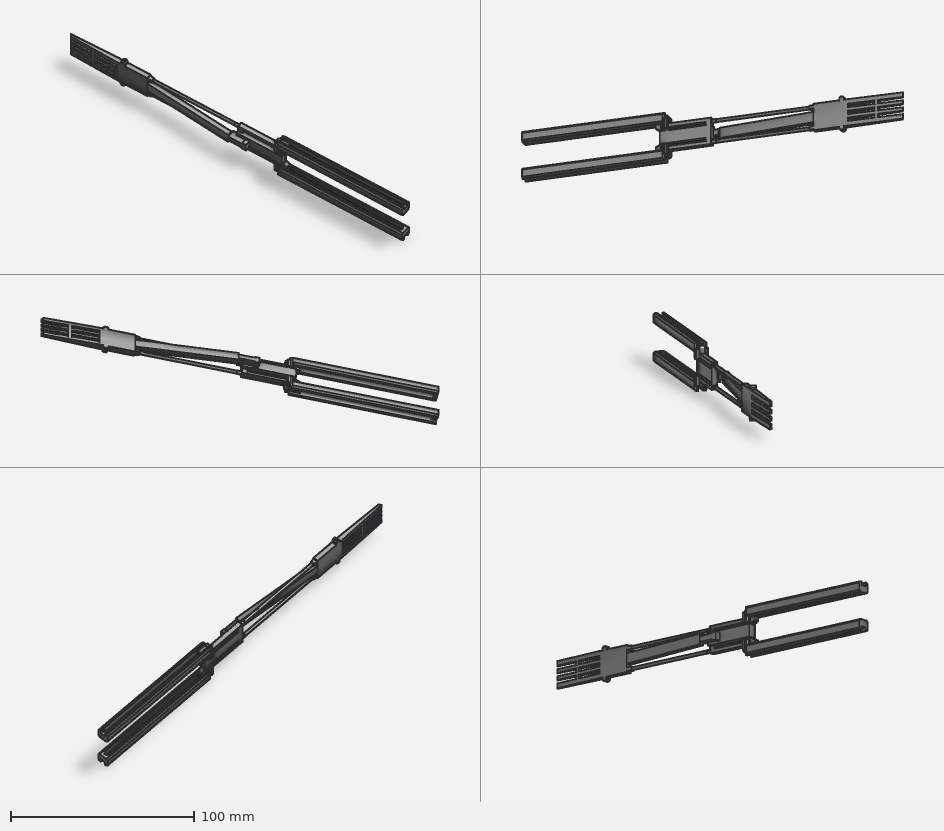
import cadquery as cq
SIDES = (1, -1)

plate_left = 32.2
plate_right = 52.2
plate_height = 15.3
plate_thickness = 3.1
tip_thickness = 1.45
tip_bevel = 1.0
tooth_gap = 2.0
tooth_pitch = 2 * tooth_gap
gap_count = 3
tie_x = 15.8
tie_width = 2.0
bump_x = 35.8
bump_width = 3.0
bump_crown = 1.1
bump_rise = 2.11
bump_side_rise = 1.1

rod_z = 6.0
rod_diameter = 1.8
boss_diameter = 2.0
boss_length = 2.7

frame_left = 112.2
frame_thickness = 3.1
beam_right = 142.2
beam_height = 7.3
beam_front = -3.1
arm_outer = plate_height / 2
arm_height = 2.11
arm_inner = arm_outer - arm_height
yoke_length = 3.1
post_left = 137.4
lobe_left = 136.5
lobe_top = 11.8
lobe_radius = 1.8

tongue_left = 109.1
tongue_right = 121.0
tongue_width = 3.3
flare_start = 117.1
flare_end = 118.5
head_width = 4.7

strap_height = 6.0
strap_thickness = 3.1

rail_left = 139.1
rail_right = 222.2
wall_thickness = 1.95
slot_width = frame_thickness
rail_width = slot_width + 2 * wall_thickness
rail_inner = arm_outer
rail_height = 6.0
rail_outer = rail_inner + rail_height
rail_bevel = 1.0
leg_length = 2.2
leg_bottom = 4.2
slot_left = 144.7
slot_right = 220.2
slot_corner = 1.1
bridge_drop = 2.0
rib_corner_z = 5.5
pad_left = post_left
pad_bottom = 4.5
pad_top = 10.5
pad_bevel = 0.33

assembly_depth = 10.0
tongue_front = rail_width / 2 - assembly_depth


def centred(size):
    """Limits of a span of the given size about zero."""
    return (-size / 2, size / 2)


def block(x_range, y_range, z_range):
    """Box between the given limits."""
    sizes = [high - low for low, high in (x_range, y_range, z_range)]
    corner = (x_range[0], y_range[0], z_range[0])
    return cq.Workplane("XY").box(*sizes, centered=False).translate(corner)


def plan_prism(points, height, z=0):
    """Prism with an outline in the XY plane, centred on the given Z."""
    return cq.Workplane("XY", origin=(0, 0, z - height / 2)).polyline(points).close().extrude(height)


def rod_along_x(x_range, diameter):
    """Upper round bar between two X positions, on the rod axis."""
    start, end = x_range
    return cq.Workplane("YZ", origin=(start, 0, rod_z)).circle(diameter / 2).extrude(end - start)


def on_side(shape, side):
    """The shape itself for the +Z side, or its mirror image for the -Z side."""
    return shape if side > 0 else shape.mirror("XY")



def make_bump():
    """Tooth with a bevelled crown on the upper edge of the plate."""
    edge = plate_height / 2
    return (
        cq.Workplane("XZ", origin=(bump_x, plate_thickness / 2, 0))
        .moveTo(-bump_width / 2, 0)
        .lineTo(-bump_width / 2, edge + bump_side_rise)
        .lineTo(-bump_crown / 2, edge + bump_rise)
        .lineTo(bump_crown / 2, edge + bump_rise)
        .lineTo(bump_width / 2, edge + bump_side_rise)
        .lineTo(bump_width / 2, 0)
        .close()
        .extrude(plate_thickness)
    )


def make_rod_lug():
    """Lug that narrows from the plate's thickness to the boss size, where the rod starts."""
    root = plate_thickness / 2
    end = boss_diameter / 2
    lug_right = plate_right + boss_length
    outline = [(plate_right, -root), (lug_right, -end), (lug_right, end), (plate_right, root)]
    return plan_prism(outline, boss_diameter, rod_z)


def make_comb_plate():
    half = plate_thickness / 2
    tip = tip_thickness / 2
    outline = [
        (tip_bevel, -tip),
        (plate_left, -half),
        (plate_right, -half),
        (plate_right, half),
        (plate_left, half),
        (0, tip),
    ]
    body = plan_prism(outline, plate_height)
    tip_gap = (0, tie_x - tie_width / 2)
    root_gap = (tie_x + tie_width / 2, plate_left)
    for index in range(gap_count):
        z = (index - (gap_count - 1) / 2) * tooth_pitch
        gap_z = (z - tooth_gap / 2, z + tooth_gap / 2)
        for gap_x in (tip_gap, root_gap):
            body = body.cut(block(gap_x, centred(plate_thickness), gap_z))
    for side in SIDES:
        body = body.union(on_side(make_bump(), side))
        body = body.union(on_side(make_rod_lug(), side))
    return body



def make_rod(side):
    rod_span = (plate_right + boss_length, frame_left - boss_length)
    return on_side(rod_along_x(rod_span, rod_diameter), side)



def make_strap():
    half = strap_thickness / 2
    outline = [
        (plate_right, -half),
        (tongue_left, tongue_front),
        (tongue_left, tongue_front + strap_thickness),
        (plate_right, half),
    ]
    return plan_prism(outline, strap_height)



def make_post():
    """Post from the beam to the arm, with a rounded lobe on top that hooks in front of the rail."""
    return (
        cq.Workplane("XZ", origin=(0, frame_thickness / 2, 0))
        .moveTo(post_left, 0)
        .lineTo(post_left, arm_inner)
        .lineTo(lobe_left, arm_inner)
        .lineTo(lobe_left, lobe_top - lobe_radius)
        .radiusArc((lobe_left + lobe_radius, lobe_top), lobe_radius)
        .lineTo(rail_left, lobe_top)
        .lineTo(rail_left, 0)
        .close()
        .extrude(frame_thickness)
    )


def make_frame_side():
    """Upper half of the yoke, with its arm, post and rod boss."""
    yoke_right = frame_left + yoke_length
    yoke = block((frame_left, yoke_right), centred(frame_thickness), (0, arm_outer))
    arm = block((frame_left, post_left), centred(frame_thickness), (arm_inner, arm_outer))
    boss = rod_along_x((frame_left - boss_length, frame_left), boss_diameter)
    return yoke.union(arm).union(make_post()).union(boss)


def make_frame():
    body = block((frame_left, beam_right), (beam_front, frame_thickness / 2), centred(beam_height))
    for side in SIDES:
        body = body.union(on_side(make_frame_side(), side))
    return body



def make_tongue():
    """Block with a flared head, deepened on the left, where it overhangs the frame."""
    half = tongue_width / 2
    head = head_width / 2
    body = (
        cq.Workplane("XZ", origin=(0, beam_front, 0))
        .moveTo(tongue_left, 0)
        .lineTo(tongue_left, half)
        .lineTo(flare_start, half)
        .tangentArcPoint((flare_end, head), relative=False)
        .lineTo(tongue_right, head)
        .lineTo(tongue_right, 0)
        .mirrorX()
        .extrude(beam_front - tongue_front)
    )
    overhang_y = (beam_front, -frame_thickness / 2)
    return body.union(block((tongue_left, frame_left), overhang_y, centred(tongue_width)))



def make_rail_body():
    """Bar with a leg toward the beam, bevelled around both broad faces except at the far end."""
    half = rail_width / 2
    leg_right = rail_left + leg_length
    body = (
        cq.Workplane("XZ", origin=(0, half, 0))
        .moveTo(rail_left, leg_bottom)
        .lineTo(leg_right, leg_bottom)
        .lineTo(leg_right, rail_inner)
        .lineTo(rail_right, rail_inner)
        .lineTo(rail_right, rail_outer)
        .lineTo(rail_left, rail_outer)
        .close()
        .extrude(rail_width)
    )
    rims = body.faces("|Y").edges("not >X")
    return rims.chamfer(rail_bevel)


def make_rib():
    """Rib in the corner between the leg and the bar, below the solid end of the slot."""
    leg_right = rail_left + leg_length
    return (
        cq.Workplane("XZ", origin=(0, slot_width / 2, 0))
        .moveTo(leg_right, leg_bottom)
        .lineTo(beam_right, leg_bottom)
        .lineTo(slot_left, rib_corner_z)
        .lineTo(slot_left, rail_inner)
        .lineTo(leg_right, rail_inner)
        .close()
        .extrude(slot_width)
    )


def make_pads():
    """Two pads on the left of the leg, bevelled around their left faces, with a gap for the post."""
    pad = block((pad_left, rail_left), centred(rail_width), (pad_bottom, pad_top))
    pad = pad.faces("<X").edges().chamfer(pad_bevel)
    return pad.cut(block((pad_left, rail_left), centred(slot_width), (pad_bottom, pad_top)))


def make_rail(side):
    slot = block((slot_left, slot_right), centred(slot_width), (rail_inner, rail_outer))
    slot = slot.edges("|Z").fillet(slot_corner)
    channel = block((rail_left, rail_right), centred(slot_width), (rail_outer - bridge_drop, rail_outer))
    body = make_rail_body().cut(slot).cut(channel)
    return on_side(body.union(make_rib()).union(make_pads()), side)


comb_plate = make_comb_plate()
rods = [make_rod(side) for side in SIDES]
strap = make_strap()
frame = make_frame()
tongue = make_tongue()
rails = [make_rail(side) for side in SIDES]

bodies = [comb_plate, *rods, strap, frame, tongue, *rails]
result = cq.Compound.makeCompound([body.val() for body in bodies])